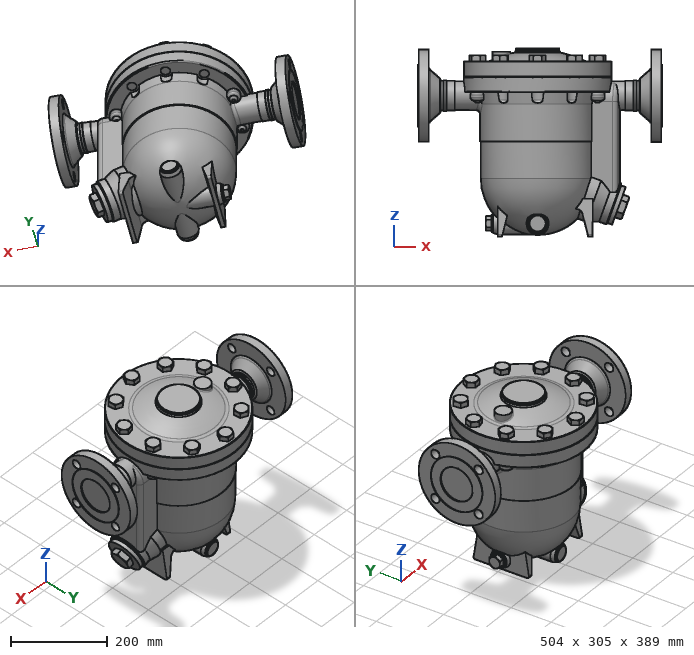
import cadquery as cq
import math


JOINT_RADIUS = 305 / 2
JOINT_THICKNESS = 31
HOUSING_FLANGE_BOTTOM = 298
HOUSING_FLANGE_TOP = HOUSING_FLANGE_BOTTOM + JOINT_THICKNESS
JOINT_GAP = 2
COVER_BOTTOM = HOUSING_FLANGE_TOP + JOINT_GAP
COVER_TOP = COVER_BOTTOM + JOINT_THICKNESS
RIM_ROUND = 2.5
COVER_RIM_CHAMFER = 1.2

BOLT_COUNT = 10
BOLT_CIRCLE_RADIUS = 130
BOLT_DIAMETER = 20
BOLT_FLATS = 30
BOLT_HEAD_HEIGHT = 12.5
SPOT_RADIUS = 15
SPOT_BOTTOM = 275
SPOT_ROUND = 8
PIPE_CLEAR_Y = 60
BLIND_BOSS_RADIUS = 15
BLIND_BOSS_NECKING = 1
BLIND_BOSS_SHOULDER_TOP = 293
BLIND_BOSS_SHOULDER_BOTTOM = 287.5
BLIND_BOSS_END_RADIUS = 9
BLIND_BOSS_END = 281
BLIND_BOSS_ROUND = 7

SEAT_RADIUS = 235 / 2
DOME_RADIUS = 191 / 2
DOME_EDGE_HEIGHT = 1.8
DOME_CURVE_RADIUS = 250
DOME_FOOT_RADIUS = 207 / 2
HUB_RADIUS = 90 / 2
HUB_TOP = 389
HUB_ROOT = 380
HUB_CHAMFER = 1
HUB_FLARE = 3
HUB_GROOVE_DEPTH = 0.5
HUB_GROOVE_WIDTH = 1.5
HUB_GROOVE_TOP = HUB_TOP - 2.5
DOME_TOP_RADIUS = HUB_RADIUS + HUB_FLARE
VENT_RADIUS = 18.5
VENT_X = -74.5
VENT_TOP = 382
VENT_ROOT_ROUND = 2

VESSEL_RADIUS = SEAT_RADIUS
UPPER_RADIUS = VESSEL_RADIUS + 1.5
NECK_TOP_RADIUS = 122.5
SPHERE_CENTRE_Z = 121
UPPER_BOTTOM = 196
UPPER_TOP = 274.5

PIPE_Z = 291
NOZZLE_RADIUS = 60 / 2
PIPE_RADIUS = 62 / 2
INLET_FACE_X = -247
OUTLET_FACE_X = 257
NOZZLE_END = 76
BEAD_START = 52.5
BEAD_END = 59.5
BEAD_HEIGHT = 1.2
WELD_HUB_END = 45.5
WELD_HUB_END_RADIUS = 36
WELD_HUB_END_BEVEL = 2
WELD_HUB_ROOT_RADIUS = 54
WELD_HUB_ROOT = 26
PIPE_FLANGE_RADIUS = 191 / 2
PIPE_FLANGE_BACK = 23
RAISED_FACE_RADIUS = 64
RAISED_FACE_HEIGHT = 1.8
BORE_RADIUS = 80 / 2
BORE_DEPTH = 3
FLANGE_HOLE_DIAMETER = 21
FLANGE_HOLE_CIRCLE = 152.4
NOZZLE_ROOT_ROUND = 8

DUCT_HALF_WIDTH = 80 / 2
DUCT_OUTER_X = 170
DUCT_OUTER_BULGE = 7
DUCT_CORNER_ROUND = 12
DUCT_BOTTOM = 92
DUCT_CROWN_DROP = 1
DUCT_ARCH_Z = PIPE_Z + NOZZLE_RADIUS - DUCT_CROWN_DROP - DUCT_HALF_WIDTH

PORT_TILT = math.radians(20)
PORT_FACE = (158, 0, 67.3)
PORT_AXIS = (math.cos(PORT_TILT), 0, -math.sin(PORT_TILT))
PORT_ACROSS = (math.sin(PORT_TILT), 0, math.cos(PORT_TILT))
PORT_ROOT_RADIUS = 54
PORT_RADIUS = 90 / 2
PORT_CHAMFER = 0.7
PORT_INNER_END = -110
PORT_CONE_START = -42
PORT_CONE_END = -17
PORT_END = -0.7
PORT_GASKET_RADIUS = 80 / 2
PORT_CAP_RADIUS = 83 / 2
PORT_CAP_START = 0.5
PORT_CAP_END = 10.5
PORT_HEX_CORNERS = 50
PORT_HEX_HEIGHT = 14.5

DRAIN_Z = 27.5
DRAIN_RADIUS = 23
DRAIN_NOSE_RADIUS = 20
DRAIN_END_RADIUS = 18.5
DRAIN_EDGE_CHAMFER = 2
SIDE_DRAIN_REACH = 95
PLUG_DRAIN_REACH = 95.5
DRAIN_TAPER_LENGTH = 13
DRAIN_LIP = 4
PLUG_HEX_CORNERS = 31
PLUG_HEX_HEIGHT = 11.5

FOOT_BASE_HALF_WIDTH = 70
FOOT_FULL_HEIGHT = 78
FOOT_HALF_WIDTH_TAPER = 12.5
FOOT_CORNER_ROUND = 5
FOOT_TIP = 9
FOOT_INNER_SLOPE = 0.25
FOOT_WEB_Z = 42.5
FOOT_WEB_RADIUS = 15
LEFT_FOOT_X = -82.5
RIGHT_FOOT_X = 113.3

HEX_BEVEL_ANGLE = math.radians(30)


def turned(points, origin=(0, 0, 0), axis=(0, 0, 1)):
    """Solid of revolution from (radius, station) points along an axis."""
    blank = cq.Workplane("XZ").polyline(points).close().revolve(360, (0, 0, 0), (0, 1, 0))
    place = cq.Location(cq.Plane(origin=origin, normal=axis))
    return cq.Workplane(blank.val().moved(place))


def hex_head(corners, height, origin, axis, corner_direction):
    """Hexagon with its outer corners bevelled to the inscribed circle."""
    corner_radius = corners / 2
    flat_radius = corner_radius * math.cos(math.pi / 6)
    bevel = (corner_radius - flat_radius) * math.tan(HEX_BEVEL_ANGLE)
    hexagon = (
        cq.Workplane(cq.Plane(origin=origin, xDir=corner_direction, normal=axis))
        .polygon(6, corners)
        .extrude(height)
    )
    envelope = turned(
        [(0, 0), (corner_radius, 0), (corner_radius, height - bevel), (flat_radius, height), (0, height)],
        origin,
        axis,
    )
    return hexagon.intersect(envelope)


def bolt_places():
    """Centre and angle of every bolt, starting at the front."""
    for index in range(BOLT_COUNT):
        angle = 2 * math.pi * index / BOLT_COUNT - math.pi / 2
        yield BOLT_CIRCLE_RADIUS * math.cos(angle), BOLT_CIRCLE_RADIUS * math.sin(angle), angle


def cylinder(radius, bottom, top, x=0, y=0):
    return cq.Workplane("XY", origin=(x, y, bottom)).circle(radius).extrude(top - bottom)


def vessel():
    shell = (
        cq.Workplane("XZ")
        .moveTo(0, SPHERE_CENTRE_Z - VESSEL_RADIUS)
        .radiusArc((VESSEL_RADIUS, SPHERE_CENTRE_Z), -VESSEL_RADIUS)
        .lineTo(VESSEL_RADIUS, UPPER_BOTTOM)
        .lineTo(UPPER_RADIUS, UPPER_BOTTOM + UPPER_RADIUS - VESSEL_RADIUS)
        .lineTo(UPPER_RADIUS, UPPER_TOP)
        .lineTo(NECK_TOP_RADIUS, HOUSING_FLANGE_BOTTOM)
        .lineTo(0, HOUSING_FLANGE_BOTTOM)
        .close()
        .revolve(360, (0, 0, 0), (0, 1, 0))
    )
    flange = cylinder(JOINT_RADIUS, HOUSING_FLANGE_BOTTOM, HOUSING_FLANGE_TOP)
    return shell.union(flange.faces("<Z").edges().fillet(RIM_ROUND))


def inlet_nozzle():
    """Nozzle blended into a plug of the upper vessel wall."""
    wall = cylinder(UPPER_RADIUS, UPPER_BOTTOM + RIM_ROUND, HOUSING_FLANGE_TOP)
    reach = abs(INLET_FACE_X) - NOZZLE_END
    nozzle = cq.Workplane("YZ", origin=(-reach, 0, PIPE_Z)).circle(NOZZLE_RADIUS).extrude(reach)
    root = cq.selectors.BoxSelector(
        (-UPPER_RADIUS - 1, -NOZZLE_RADIUS - 1, PIPE_Z - NOZZLE_RADIUS - 1),
        (-UPPER_RADIUS / 2, NOZZLE_RADIUS + 1, PIPE_Z + NOZZLE_RADIUS + 1),
    )
    return wall.union(nozzle).edges(root).fillet(NOZZLE_ROOT_ROUND)


def outlet_nozzle():
    reach = OUTLET_FACE_X - NOZZLE_END
    return cq.Workplane("YZ", origin=(0, 0, PIPE_Z)).circle(NOZZLE_RADIUS).extrude(reach)


def pipe_flange(face_x):
    """Weld neck flange and pipe stub, facing away from the vessel."""
    inward = (-math.copysign(1, face_x), 0, 0)
    bead_radius = PIPE_RADIUS + BEAD_HEIGHT
    profile = [
        (0, BORE_DEPTH),
        (BORE_RADIUS, BORE_DEPTH),
        (BORE_RADIUS, 0),
        (RAISED_FACE_RADIUS, 0),
        (RAISED_FACE_RADIUS, RAISED_FACE_HEIGHT),
        (PIPE_FLANGE_RADIUS, RAISED_FACE_HEIGHT),
        (PIPE_FLANGE_RADIUS, PIPE_FLANGE_BACK),
        (WELD_HUB_ROOT_RADIUS + WELD_HUB_ROOT - PIPE_FLANGE_BACK, PIPE_FLANGE_BACK),
        (WELD_HUB_ROOT_RADIUS - 1, WELD_HUB_ROOT),
        (WELD_HUB_END_RADIUS, WELD_HUB_END),
        (PIPE_RADIUS, WELD_HUB_END + WELD_HUB_END_BEVEL),
        (PIPE_RADIUS, BEAD_START),
        (bead_radius, BEAD_START + BEAD_HEIGHT),
        (bead_radius, BEAD_END - BEAD_HEIGHT),
        (PIPE_RADIUS, BEAD_END),
        (PIPE_RADIUS, NOZZLE_END),
        (0, NOZZLE_END),
    ]
    flange = turned(profile, (face_x, 0, PIPE_Z), inward)
    hole_spacing = FLANGE_HOLE_CIRCLE / math.sqrt(2)
    holes = (
        cq.Workplane(cq.Plane(origin=(face_x, 0, PIPE_Z), xDir=(0, 1, 0), normal=inward))
        .rect(hole_spacing, hole_spacing, forConstruction=True)
        .vertices()
        .circle(FLANGE_HOLE_DIAMETER / 2)
        .extrude(PIPE_FLANGE_BACK + 1)
    )
    return flange.cut(holes)


def outlet_duct():
    """Upright duct with an arched top and a curved outer wall, rounded all along its rim."""
    outer_edge_x = DUCT_OUTER_X - DUCT_OUTER_BULGE
    crown = DUCT_ARCH_Z + DUCT_HALF_WIDTH
    front = (
        cq.Workplane("YZ")
        .moveTo(-DUCT_HALF_WIDTH, DUCT_BOTTOM)
        .lineTo(DUCT_HALF_WIDTH, DUCT_BOTTOM)
        .lineTo(DUCT_HALF_WIDTH, DUCT_ARCH_Z)
        .threePointArc((0, crown), (-DUCT_HALF_WIDTH, DUCT_ARCH_Z))
        .close()
        .extrude(DUCT_OUTER_X)
    )
    plan = (
        cq.Workplane("XY", origin=(0, 0, DUCT_BOTTOM))
        .moveTo(0, -DUCT_HALF_WIDTH)
        .lineTo(outer_edge_x, -DUCT_HALF_WIDTH)
        .threePointArc((DUCT_OUTER_X, 0), (outer_edge_x, DUCT_HALF_WIDTH))
        .lineTo(0, DUCT_HALF_WIDTH)
        .close()
        .extrude(crown - DUCT_BOTTOM)
    )
    duct = front.intersect(plan)
    return duct.faces(">X").edges("not <Z").fillet(DUCT_CORNER_ROUND)


def valve_port():
    profile = [
        (0, PORT_INNER_END),
        (PORT_ROOT_RADIUS, PORT_INNER_END),
        (PORT_ROOT_RADIUS, PORT_CONE_START),
        (PORT_RADIUS, PORT_CONE_END),
        (PORT_RADIUS, PORT_END - PORT_CHAMFER),
        (PORT_RADIUS - PORT_CHAMFER, PORT_END),
        (PORT_GASKET_RADIUS, PORT_END),
        (PORT_GASKET_RADIUS, PORT_CAP_START),
        (PORT_CAP_RADIUS, PORT_CAP_START),
        (PORT_CAP_RADIUS, PORT_CAP_END),
        (0, PORT_CAP_END),
    ]
    cap_face = tuple(p + PORT_CAP_END * a for p, a in zip(PORT_FACE, PORT_AXIS))
    head = hex_head(PORT_HEX_CORNERS, PORT_HEX_HEIGHT, cap_face, PORT_AXIS, PORT_ACROSS)
    return turned(profile, PORT_FACE, PORT_AXIS).union(head)


def drain_boss(reach, axis):
    profile = [
        (0, 0),
        (DRAIN_RADIUS, 0),
        (DRAIN_RADIUS, reach - DRAIN_TAPER_LENGTH),
        (DRAIN_NOSE_RADIUS, reach - DRAIN_LIP),
        (DRAIN_END_RADIUS, reach - DRAIN_LIP),
        (DRAIN_END_RADIUS, reach - DRAIN_EDGE_CHAMFER),
        (DRAIN_END_RADIUS - DRAIN_EDGE_CHAMFER, reach),
        (0, reach),
    ]
    return turned(profile, (0, 0, DRAIN_Z), axis)


def drain_plug_head():
    face = (-PLUG_DRAIN_REACH, 0, DRAIN_Z)
    return hex_head(PLUG_HEX_CORNERS, PLUG_HEX_HEIGHT, face, (-1, 0, 0), (0, 0, 1))


def foot(outer_x):
    """Cross plate, upright outside, thickening upward on the inside and flaring into the vessel."""
    inward = -math.copysign(1, outer_x)
    knee_thickness = FOOT_TIP + FOOT_INNER_SLOPE * FOOT_WEB_Z
    web_thickness = knee_thickness + FOOT_WEB_RADIUS
    web_top = FOOT_WEB_Z + FOOT_WEB_RADIUS
    half_turn = math.radians(45)
    arc_middle = (
        outer_x + inward * (knee_thickness + FOOT_WEB_RADIUS * (1 - math.cos(half_turn))),
        FOOT_WEB_Z + FOOT_WEB_RADIUS * math.sin(half_turn),
    )
    top_half_width = FOOT_BASE_HALF_WIDTH - FOOT_HALF_WIDTH_TAPER
    plate = (
        cq.Workplane("YZ", origin=(outer_x, 0, 0))
        .polyline(
            [
                (-FOOT_BASE_HALF_WIDTH, 0),
                (FOOT_BASE_HALF_WIDTH, 0),
                (top_half_width, FOOT_FULL_HEIGHT),
                (-top_half_width, FOOT_FULL_HEIGHT),
            ]
        )
        .close()
        .extrude(inward * web_thickness)
        .edges("|X and <Z")
        .fillet(FOOT_CORNER_ROUND)
    )
    section = (
        cq.Workplane("XZ", origin=(0, FOOT_BASE_HALF_WIDTH, 0))
        .moveTo(outer_x, 0)
        .lineTo(outer_x + inward * FOOT_TIP, 0)
        .lineTo(outer_x + inward * knee_thickness, FOOT_WEB_Z)
        .threePointArc(arc_middle, (outer_x + inward * web_thickness, web_top))
        .lineTo(outer_x + inward * web_thickness, FOOT_FULL_HEIGHT)
        .lineTo(outer_x, FOOT_FULL_HEIGHT)
        .close()
        .extrude(2 * FOOT_BASE_HALF_WIDTH)
    )
    return plate.intersect(section)


def bolt_spot():
    """Round-bottomed clearance pocket under one bolt hole."""
    return cylinder(SPOT_RADIUS, SPOT_BOTTOM, HOUSING_FLANGE_BOTTOM).faces("<Z").edges().fillet(SPOT_ROUND)


def blind_bolt_boss(x, y):
    """Closed round boss under a bolt hole that stands over a pipe."""
    tip_radius = BLIND_BOSS_END_RADIUS / 3
    profile = (
        cq.Workplane("XZ")
        .moveTo(0, HOUSING_FLANGE_BOTTOM)
        .lineTo(BLIND_BOSS_RADIUS - BLIND_BOSS_NECKING, HOUSING_FLANGE_BOTTOM)
        .lineTo(BLIND_BOSS_RADIUS, BLIND_BOSS_SHOULDER_TOP)
        .lineTo(BLIND_BOSS_RADIUS, BLIND_BOSS_SHOULDER_BOTTOM)
        .radiusArc((BLIND_BOSS_END_RADIUS, BLIND_BOSS_END), BLIND_BOSS_ROUND)
        .lineTo(tip_radius, SPOT_BOTTOM + 1)
        .lineTo(0, SPOT_BOTTOM + 1)
        .close()
    )
    return profile.revolve(360, (0, 0, 0), (0, 1, 0)).translate((x, y, 0))


def make_housing():
    housing = vessel().union(inlet_nozzle()).union(outlet_duct()).union(outlet_nozzle())
    for face_x in (INLET_FACE_X, OUTLET_FACE_X):
        housing = housing.union(pipe_flange(face_x))
    housing = housing.union(valve_port())
    for outer_x in (LEFT_FOOT_X, RIGHT_FOOT_X):
        housing = housing.union(foot(outer_x))
    for side in (-1, 1):
        housing = housing.union(drain_boss(SIDE_DRAIN_REACH, (0, side, 0)))
    housing = housing.union(drain_boss(PLUG_DRAIN_REACH, (-1, 0, 0))).union(drain_plug_head())
    spot = bolt_spot()
    for x, y, _ in bolt_places():
        hole = cylinder(BOLT_DIAMETER / 2, HOUSING_FLANGE_BOTTOM, HOUSING_FLANGE_TOP, x, y)
        if abs(y) < PIPE_CLEAR_Y:
            housing = housing.union(blind_bolt_boss(x, y))
        else:
            housing = housing.cut(spot.translate((x, y, 0)))
        housing = housing.cut(hole)
    return housing


def cover_blank():
    dome_edge = COVER_TOP + DOME_EDGE_HEIGHT
    groove_radius = HUB_RADIUS - HUB_GROOVE_DEPTH
    groove_bottom = HUB_GROOVE_TOP - HUB_GROOVE_WIDTH
    return (
        cq.Workplane("XZ")
        .moveTo(0, HUB_TOP)
        .lineTo(HUB_RADIUS - HUB_CHAMFER, HUB_TOP)
        .lineTo(HUB_RADIUS, HUB_TOP - HUB_CHAMFER)
        .lineTo(HUB_RADIUS, HUB_GROOVE_TOP)
        .lineTo(groove_radius, HUB_GROOVE_TOP)
        .lineTo(groove_radius, groove_bottom)
        .lineTo(HUB_RADIUS, groove_bottom)
        .lineTo(HUB_RADIUS, HUB_ROOT + HUB_FLARE)
        .lineTo(DOME_TOP_RADIUS, HUB_ROOT)
        .radiusArc((DOME_RADIUS, dome_edge), DOME_CURVE_RADIUS)
        .tangentArcPoint((DOME_FOOT_RADIUS, COVER_TOP), relative=False)
        .lineTo(JOINT_RADIUS - COVER_RIM_CHAMFER, COVER_TOP)
        .lineTo(JOINT_RADIUS, COVER_TOP - COVER_RIM_CHAMFER)
        .lineTo(JOINT_RADIUS, COVER_BOTTOM)
        .lineTo(SEAT_RADIUS, COVER_BOTTOM)
        .lineTo(SEAT_RADIUS, HOUSING_FLANGE_TOP)
        .lineTo(0, HOUSING_FLANGE_TOP)
        .close()
        .revolve(360, (0, 0, 0), (0, 1, 0))
    )


def cover_with_vent():
    """Cover blank with the small vent boss blended into the dome."""
    reach = VENT_RADIUS + 1
    root = cq.selectors.BoxSelector(
        (VENT_X - reach, -reach, COVER_TOP - 1),
        (VENT_X + reach, reach, VENT_TOP - 1),
    )
    boss = cylinder(VENT_RADIUS, COVER_TOP, VENT_TOP, VENT_X)
    return cover_blank().union(boss).edges(root).fillet(VENT_ROOT_ROUND)


def bolt(x, y, angle):
    corners = BOLT_FLATS / math.cos(math.pi / 6)
    tangent = (-math.sin(angle), math.cos(angle), 0)
    head = hex_head(corners, BOLT_HEAD_HEIGHT, (x, y, COVER_TOP), (0, 0, 1), tangent)
    shank = cylinder(BOLT_DIAMETER / 2, HOUSING_FLANGE_BOTTOM, COVER_TOP, x, y)
    return head.union(shank)


def make_cover():
    cover = cover_with_vent()
    for x, y, angle in bolt_places():
        cover = cover.union(bolt(x, y, angle))
    return cover


housing = make_housing()
cover = make_cover()
result = cq.Compound.makeCompound([housing.val(), cover.val()])